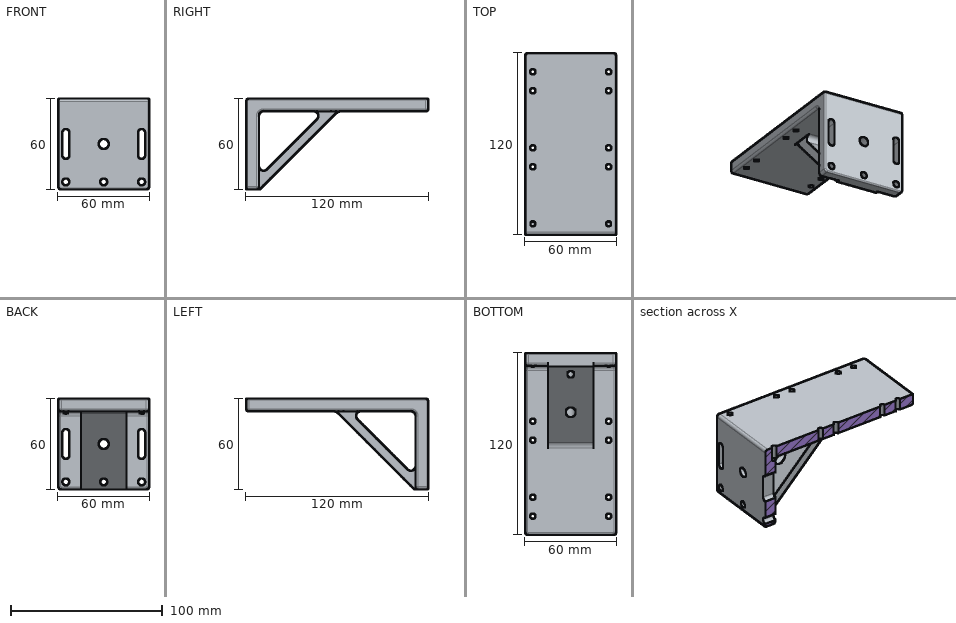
import cadquery as cq
import math

width = 60.0
length = 120.0
height = 60.0
thickness = 8.5

bend_outer_radius = 2.0
bend_inner_radius = 3.0
corner_radius = 2.0
outer_edge_radius = 1.0
inner_edge_radius = 1.7

brace_width = 30.0
brace_foot = 0.6
brace_thickness = 6.2
brace_heel_radius = 5.0
window_radius = 3.0

side_hole_x = 25.0
plate_hole_diameter = 3.4
plate_hole_rows = (-15.0, -2.5, 35.0, 47.5)
blind_hole_y = -52.5
blind_hole_depth = 10.0
drill_tip_angle = 118.0
wall_hole_diameter = 4.5
wall_hole_z = 5.0
slot_length = 19.5
slot_width = 4.5
center_hole_diameter = 6.5

front_y = -length / 2
wall_inner_y = front_y + thickness
back_y = length / 2
underside_z = height - thickness
mid_z = height / 2

brace_toe_y = wall_inner_y + brace_foot
brace_heel_y = brace_toe_y + underside_z
window_end_y = brace_heel_y - brace_thickness * math.sqrt(2)
window_bottom_z = underside_z - (window_end_y - wall_inner_y)

side_columns = (-side_hole_x, side_hole_x)


def side_prism(points, prism_width):
    """Extrude a (y, z) outline symmetrically about the X = 0 plane."""
    return cq.Workplane("YZ").polyline(points).close().extrude(prism_width / 2, both=True)


def make_angle():
    """L-shaped plate and wall with rounded bend, corners and face edges."""
    outline = [
        (front_y, 0),
        (front_y, height),
        (back_y, height),
        (back_y, underside_z),
        (wall_inner_y, underside_z),
        (wall_inner_y, 0),
    ]
    angle = side_prism(outline, width)
    angle = angle.edges("|X and <Y and >Z").fillet(bend_outer_radius)
    inner_bend = cq.selectors.NearestToPointSelector((0, wall_inner_y, underside_z))
    angle = angle.edges(inner_bend).fillet(bend_inner_radius)
    angle = angle.edges("|Z and >Y").fillet(corner_radius)
    angle = angle.edges("|Y and <Z").fillet(corner_radius)
    angle = angle.faces(">Z").edges(">Y").fillet(outer_edge_radius)
    inner_end = cq.selectors.NearestToPointSelector((0, back_y, underside_z))
    return angle.edges(inner_end).fillet(inner_edge_radius)


def make_brace():
    """Diagonal strut whose ends are buried inside the plate and the wall."""
    buried_y = wall_inner_y - thickness / 2
    buried_z = underside_z + thickness / 2
    outline = [
        (buried_y, 0),
        (brace_toe_y, 0),
        (brace_heel_y, underside_z),
        (brace_heel_y, buried_z),
        (window_end_y, buried_z),
        (window_end_y, underside_z),
        (wall_inner_y, window_bottom_z),
        (buried_y, window_bottom_z),
    ]
    return side_prism(outline, brace_width)


def plate_holes():
    """Rows of through holes along both sides of the plate, plus a drilled blind pair over the wall."""
    radius = plate_hole_diameter / 2
    through_points = [(x, y) for x in side_columns for y in plate_hole_rows]
    holes = cq.Workplane("XY").pushPoints(through_points).circle(radius).extrude(height)
    tip_length = radius / math.tan(math.radians(drill_tip_angle / 2))
    drill_outline = [
        (0, height),
        (radius, height),
        (radius, height - blind_hole_depth),
        (0, height - blind_hole_depth - tip_length),
    ]
    drill = cq.Workplane("XZ").polyline(drill_outline).close().revolve(360, (0, 0, 0), (0, 1, 0))
    for x in side_columns:
        holes = holes.union(drill.translate((x, blind_hole_y, 0)))
    return holes


def wall_holes():
    """Slots, centre hole and bottom row, bored along Y through the wall and the brace."""
    bottom_row = [(x, wall_hole_z) for x in (-side_hole_x, 0, side_hole_x)]
    slot_centers = [(x, mid_z) for x in side_columns]
    face = cq.Workplane("XZ", origin=(0, front_y, 0))
    slots = face.pushPoints(slot_centers).slot2D(slot_length, slot_width, 90).extrude(-length)
    bottom_holes = face.pushPoints(bottom_row).circle(wall_hole_diameter / 2).extrude(-length)
    center_hole = face.center(0, mid_z).circle(center_hole_diameter / 2).extrude(-length)
    return slots.union(bottom_holes).union(center_hole)


def round_brace_joints(bracket):
    """Fillet the three inner corners where the brace meets the plate and the wall."""
    joints = [
        (brace_heel_y, underside_z, brace_heel_radius),
        (window_end_y, underside_z, window_radius),
        (wall_inner_y, window_bottom_z, window_radius),
    ]
    for y, z, radius in joints:
        corner = cq.selectors.NearestToPointSelector((0, y, z))
        bracket = bracket.edges(corner).fillet(radius)
    return bracket


bracket = make_angle().union(make_brace())
bracket = round_brace_joints(bracket)
result = bracket.cut(plate_holes()).cut(wall_holes())